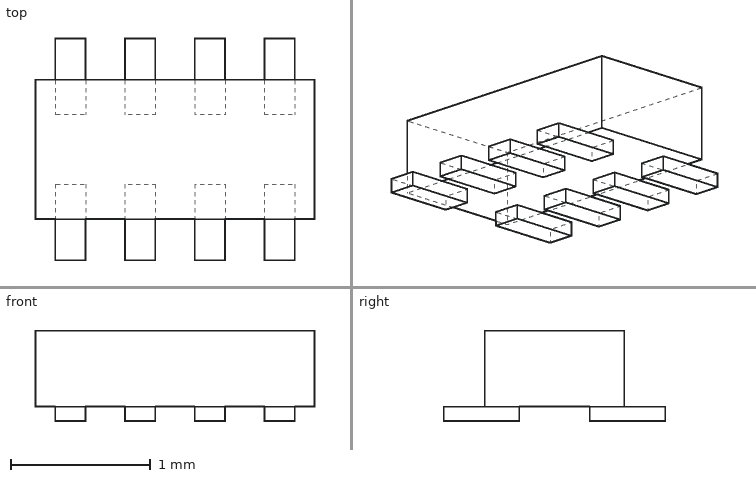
import cadquery as cq

BODY_LENGTH = 2.0
BODY_WIDTH = 1.0
TOTAL_HEIGHT = 0.65

LEADS_PER_ROW = 4
LEAD_PITCH = 0.5
LEAD_WIDTH = 0.22
LEAD_LENGTH = 0.545
LEAD_THICKNESS = 0.105
LEAD_SPAN = 1.59

BODY_HEIGHT = TOTAL_HEIGHT - LEAD_THICKNESS
LEAD_CENTER_Y = (LEAD_SPAN - LEAD_LENGTH) / 2
FIRST_LEAD_X = -LEAD_PITCH * (LEADS_PER_ROW - 1) / 2


def make_body():
    """Rectangular block resting on top of the leads."""
    return (
        cq.Workplane("XY")
        .workplane(offset=LEAD_THICKNESS)
        .box(BODY_LENGTH, BODY_WIDTH, BODY_HEIGHT, centered=(True, True, False))
    )


def make_lead(x, y):
    """Flat lead centred at (x, y), with its underside at Z = 0."""
    return (
        cq.Workplane("XY")
        .center(x, y)
        .box(LEAD_WIDTH, LEAD_LENGTH, LEAD_THICKNESS, centered=(True, True, False))
    )


body = make_body()

leads = []
for row_y in (-LEAD_CENTER_Y, LEAD_CENTER_Y):
    for index in range(LEADS_PER_ROW):
        leads.append(make_lead(FIRST_LEAD_X + index * LEAD_PITCH, row_y))

result = cq.Compound.makeCompound([body.val(), *[lead.val() for lead in leads]])